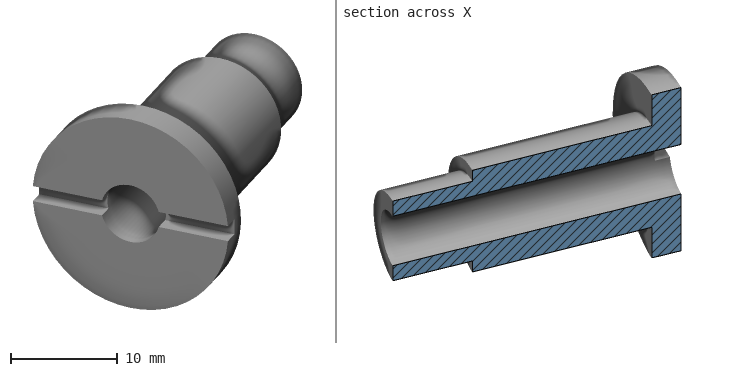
import cadquery as cq

total_length = 29.0
head_length = 3.0
tip_length = 8.0
shank_length = total_length - head_length - tip_length

head_diameter = 20.0
shank_diameter = 12.5
tip_diameter = 9.8
bore_diameter = 6.0

slot_width = 1.6
slot_depth = 1.5


def cylinder_along_y(diameter, start, length):
    """Cylinder centred on the Y axis, running toward +Y from start."""
    center = cq.Vector(0, start, 0)
    return cq.Workplane(cq.Solid.makeCylinder(diameter / 2, length, center, cq.Vector(0, 1, 0)))


head = cylinder_along_y(head_diameter, 0, head_length)
shank = cylinder_along_y(shank_diameter, head_length, shank_length)
tip = cylinder_along_y(tip_diameter, head_length + shank_length, tip_length)
body = head.union(shank).union(tip)

bore = cylinder_along_y(bore_diameter, 0, total_length)

slot = cq.Workplane("XY").box(
    head_diameter, slot_depth, slot_width, centered=(True, False, True)
)

result = body.cut(bore).cut(slot)